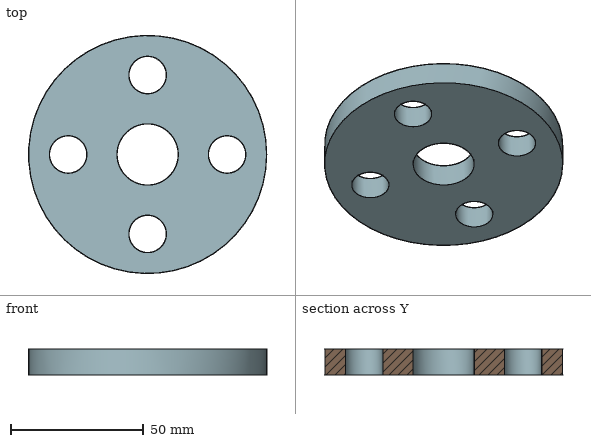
import cadquery as cq

disc_diameter = 90.0
disc_thickness = 10.0
bore_diameter = 23.0

bolt_hole_diameter = 14.0
bolt_circle_diameter = 60.0
bolt_hole_count = 4

disc = cq.Workplane("XY").circle(disc_diameter / 2).extrude(disc_thickness)
bored_disc = disc.faces(">Z").workplane().hole(bore_diameter)

result = (
    bored_disc.faces(">Z")
    .workplane()
    .polarArray(bolt_circle_diameter / 2, 0, 360, bolt_hole_count)
    .hole(bolt_hole_diameter)
)